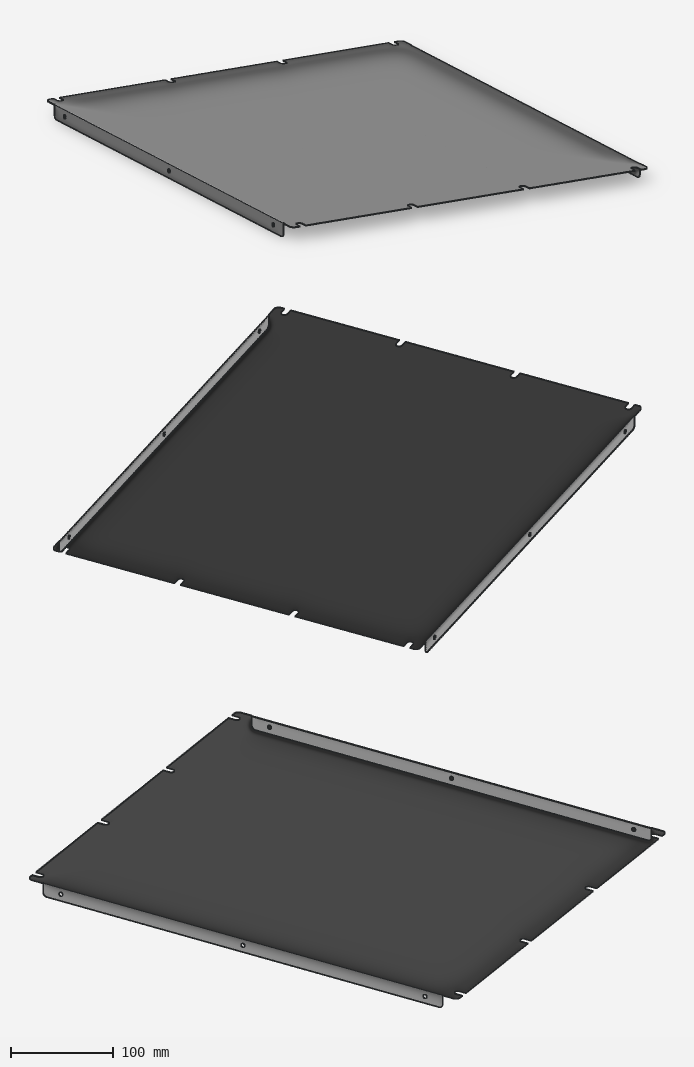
import cadquery as cq

PANEL_WIDTH = 486.5
PANEL_DEPTH = 399.6
PANEL_HEIGHT = 15.0
SHEET = 1.0
CORNER_RADIUS = 5.0

SLOT_WIDTH = 6.8
SLOT_LENGTH = 10.5
SLOT_PITCH = 125.0
SLOTS_PER_EDGE = 4

FLANGE_LENGTH = 452.0
FLANGE_CORNER_RADIUS = 4.0
FLANGE_HOLE_DIAMETER = 4.2
FLANGE_HOLE_PITCH = 206.0
FLANGE_HOLES = 3
FLANGE_HOLE_DROP = PANEL_HEIGHT / 2
BEND_OUTER_RADIUS = SHEET


def centred_positions(count, pitch):
    """Evenly spaced positions, symmetric about zero."""
    return [(i - (count - 1) / 2) * pitch for i in range(count)]


def make_folded_section():
    """Channel as long as the flanges: flat web, two bends and two flanges."""
    outer = (
        cq.Workplane("XY")
        .box(FLANGE_LENGTH, PANEL_DEPTH, PANEL_HEIGHT, centered=(True, True, False))
        .edges("|X and >Z")
        .fillet(BEND_OUTER_RADIUS)
    )
    inner = cq.Workplane("XY").rect(FLANGE_LENGTH, PANEL_DEPTH - 2 * SHEET).extrude(PANEL_HEIGHT - SHEET)
    channel = outer.cut(inner).edges("|Y and <Z").fillet(FLANGE_CORNER_RADIUS)
    return channel.translate((0, 0, -PANEL_HEIGHT))


def make_ears():
    """Flat strips with rounded corners that extend the web past the flange ends."""
    plate = (
        cq.Workplane("XY")
        .rect(PANEL_WIDTH, PANEL_DEPTH)
        .extrude(-SHEET)
        .edges("|Z")
        .fillet(CORNER_RADIUS)
    )
    middle = cq.Workplane("XY").rect(FLANGE_LENGTH, PANEL_DEPTH).extrude(-SHEET)
    return plate.cut(middle)


def make_slots():
    """Cutters for the round-ended slots, running in from both short edges."""
    centres = [
        (side * PANEL_WIDTH / 2, y)
        for side in (-1, 1)
        for y in centred_positions(SLOTS_PER_EDGE, SLOT_PITCH)
    ]
    return cq.Workplane("XY").pushPoints(centres).slot2D(2 * SLOT_LENGTH, SLOT_WIDTH).extrude(-SHEET)


def make_flange_holes():
    """Cutters for the row of round holes through both flanges."""
    centres = [(x, -FLANGE_HOLE_DROP) for x in centred_positions(FLANGE_HOLES, FLANGE_HOLE_PITCH)]
    return (
        cq.Workplane("XZ")
        .pushPoints(centres)
        .circle(FLANGE_HOLE_DIAMETER / 2)
        .extrude(PANEL_DEPTH / 2, both=True)
    )


result = make_folded_section().union(make_ears()).cut(make_slots()).cut(make_flange_holes())